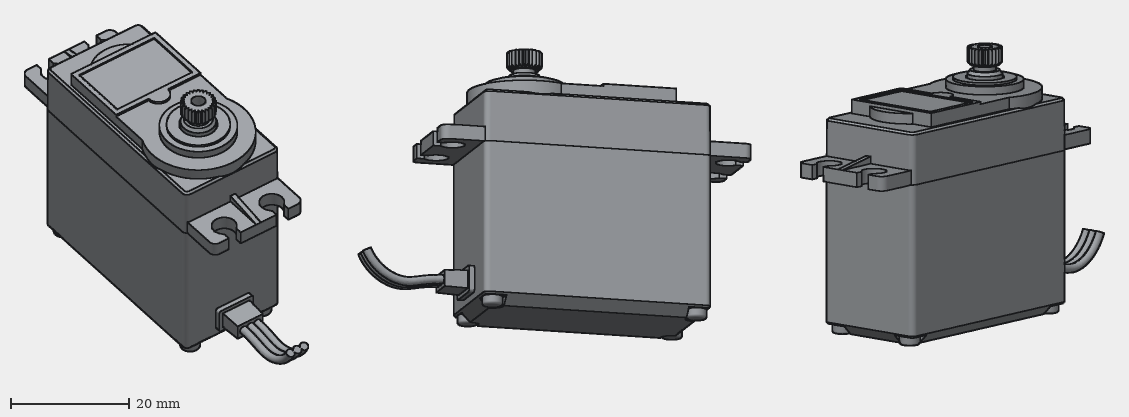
import cadquery as cq
import math

CASE_LENGTH = 39.9
CASE_WIDTH = 19.83
CASE_CORNER_RADIUS = 1.0
SEAM_Z = 28.0
CASE_TOP_Z = 37.0
TOP_EDGE_CHAMFER = 0.4
BOTTOM_CHAMFER = 1.9
ROUNDED_CHAMFER = 0.9
BOTTOM_CHAMFER_ANGLE = 45.0
UPPER_CASE_DRAFT = 0.4

SCREW_X = 17.94
SCREW_Y = 7.5
SCREW_HEAD_DIAMETER = 3.5
SCREW_HEAD_ROUNDING = 0.45
SCREW_NOTCH_DIAMETER = 3.8
NOTCH_CUTTER_SIZE = 12.0
SCREW_HEAD_HEIGHT = 1.55
CORNERS = [(sx, sy) for sx in (-1, 1) for sy in (-1, 1)]

EAR_SPAN = 54.5
EAR_WIDTH = 18.9
EAR_THICKNESS = 2.5
EAR_CORNER_RADIUS = 1.25
EAR_HOLE_X = 24.24
EAR_HOLE_Y = 5.0
EAR_HOLE_DIAMETER = 4.25
EAR_SLOT_WIDTH = 2.5
RIB_WIDTH = 1.0
RIB_RISE = 1.25

AXIS_X = 10.15
COVER_LEFT_X = -14.0
COVER_WIDTH = 17.75
COVER_TOP_Z = 39.0
COVER_ROUND_RADIUS = 9.7
PANEL_RIGHT_X = -1.2
PANEL_TOP_Z = 39.4
PANEL_BORDER = 1.0
PANEL_RECESS_DEPTH = 0.25
PANEL_TAB_RADIUS = 2.05
GEAR_BUMP_DIAMETER = 13.2
GEAR_BUMP_LEFT_X = -16.05
GEAR_BUMP_TOP_Z = 38.8

SEAT_DIAMETER = 13.2
SEAT_TOP_Z = 40.4
COLLAR_DIAMETER = 10.78
COLLAR_TOP_Z = 40.8
SHAFT_HOLE_DIAMETER = 6.5

HUB_DIAMETER = 6.0
HUB_TOP_DIAMETER = 5.0
HUB_SHOULDER_Z = 41.4
HUB_TOP_Z = 42.0
NECK_DIAMETER = 3.8
SPLINE_DIAMETER = 6.0
SPLINE_ROOT_DIAMETER = 4.8
SPLINE_BOTTOM_Z = 42.9
SHAFT_TOP_Z = 46.0
SPLINE_TOP_CHAMFER = 0.2
SPLINE_TEETH = 25
SHAFT_BORE_DIAMETER = 2.46
SHAFT_BORE_DEPTH = 4.0

CABLE_Z = 5.45
GROMMET_FLANGE_LENGTH = 0.95
GROMMET_FLANGE_WIDTH = 7.2
GROMMET_FLANGE_HEIGHT = 4.6
GROMMET_FLANGE_RADIUS = 0.5
GROMMET_LENGTH = 4.0
GROMMET_WIDTH = 5.6
GROMMET_HEIGHT = 3.1
GROMMET_TAPER = 2.0
WIRE_DIAMETER = 1.5
WIRE_PITCH = 1.43
WIRE_DIP_X = 31.5
WIRE_DIP_Z = 4.75
WIRE_END_X = 38.245
WIRE_END_Z = 9.83
WIRE_END_ANGLE = 66.0


def block(x_min, x_max, width, z_min, z_max):
    """Box centred on Y = 0."""
    return cq.Workplane("XY").box(
        x_max - x_min, width, z_max - z_min, centered=(False, True, False)
    ).translate((x_min, 0, z_min))


def cylinder(x, y, diameter, z_min, z_max):
    return cq.Workplane("XY", origin=(x, y, z_min)).circle(diameter / 2).extrude(z_max - z_min)


def case_block(z_min, z_max, draft=0):
    """Slice of the case with rounded corners, narrowing upwards by the draft angle."""
    slice_block = (
        cq.Workplane("XY", origin=(0, 0, z_min))
        .rect(CASE_LENGTH, CASE_WIDTH)
        .extrude(z_max - z_min, taper=draft)
    )
    return slice_block.edges("not(|X or |Y)").fillet(CASE_CORNER_RADIUS)



def make_grommet():
    flange = (
        cq.Workplane("YZ", origin=(CASE_LENGTH / 2, 0, CABLE_Z))
        .rect(GROMMET_FLANGE_WIDTH, GROMMET_FLANGE_HEIGHT)
        .extrude(GROMMET_FLANGE_LENGTH)
        .edges("|X")
        .fillet(GROMMET_FLANGE_RADIUS)
    )
    sleeve = (
        cq.Workplane("YZ", origin=(CASE_LENGTH / 2 + GROMMET_FLANGE_LENGTH, 0, CABLE_Z))
        .rect(GROMMET_WIDTH, GROMMET_HEIGHT)
        .extrude(GROMMET_LENGTH, taper=GROMMET_TAPER)
    )
    return flange.union(sleeve)


def make_wire(y):
    """One wire that leaves the grommet level, dips and then curls up."""
    start_x = CASE_LENGTH / 2 + GROMMET_FLANGE_LENGTH + GROMMET_LENGTH
    end_angle = math.radians(WIRE_END_ANGLE)
    path = cq.Workplane("XZ", origin=(0, y, 0)).spline(
        [(start_x, CABLE_Z), (WIRE_DIP_X, WIRE_DIP_Z), (WIRE_END_X, WIRE_END_Z)],
        tangents=[(1, 0), (math.cos(end_angle), math.sin(end_angle))],
    )
    section = cq.Workplane("YZ", origin=(start_x, y, CABLE_Z)).circle(WIRE_DIAMETER / 2)
    return section.sweep(path)


def make_screw_notch(side_x, side_y):
    """Corner notch around a screw head: open to both sides, rounded on the inside."""
    notch_radius = SCREW_NOTCH_DIAMETER / 2
    notch = (
        cq.Workplane("XY")
        .rect(NOTCH_CUTTER_SIZE, NOTCH_CUTTER_SIZE)
        .extrude(SCREW_HEAD_HEIGHT)
        .edges("|Z")
        .fillet(notch_radius)
    )
    outward_shift = NOTCH_CUTTER_SIZE / 2 - notch_radius
    return notch.translate((side_x * (SCREW_X + outward_shift), side_y * (SCREW_Y + outward_shift), 0))


def make_lower_case():
    foot_height = BOTTOM_CHAMFER - ROUNDED_CHAMFER
    body = case_block(foot_height, SEAM_Z).faces("<Z").chamfer(ROUNDED_CHAMFER)
    foot = (
        cq.Workplane("XY", origin=(0, 0, foot_height))
        .rect(CASE_LENGTH - 2 * ROUNDED_CHAMFER, CASE_WIDTH - 2 * ROUNDED_CHAMFER)
        .extrude(-foot_height, taper=BOTTOM_CHAMFER_ANGLE)
    )
    body = body.union(foot)
    for side_x, side_y in CORNERS:
        body = body.cut(make_screw_notch(side_x, side_y))
    body = body.union(make_grommet())
    for step in (-1, 0, 1):
        body = body.union(make_wire(step * WIRE_PITCH))
    return body



def make_screw(side_x, side_y):
    """Screw head, flush with the underside seated against the notch floor and rounded below."""
    head = cylinder(side_x * SCREW_X, side_y * SCREW_Y, SCREW_HEAD_DIAMETER, 0, SCREW_HEAD_HEIGHT)
    return head.faces("<Z").edges().fillet(SCREW_HEAD_ROUNDING)



def make_ears():
    """Both ears as one plate through the case, with open screw slots."""
    half_span = EAR_SPAN / 2
    ear_top_z = SEAM_Z + EAR_THICKNESS
    ears = block(-half_span, half_span, EAR_WIDTH, SEAM_Z, ear_top_z).edges("|Z").fillet(EAR_CORNER_RADIUS)
    for side_x, side_y in CORNERS:
        x = side_x * EAR_HOLE_X
        y = side_y * EAR_HOLE_Y
        outer_x = side_x * half_span
        slot = block(min(x, outer_x), max(x, outer_x), EAR_SLOT_WIDTH, SEAM_Z, ear_top_z).translate((0, y, 0))
        ears = ears.cut(cylinder(x, y, EAR_HOLE_DIAMETER, SEAM_Z, ear_top_z)).cut(slot)
    rib = (
        cq.Workplane("XZ", origin=(0, RIB_WIDTH / 2, 0))
        .moveTo(-half_span, ear_top_z)
        .lineTo(-CASE_LENGTH / 2, ear_top_z + RIB_RISE)
        .lineTo(CASE_LENGTH / 2, ear_top_z + RIB_RISE)
        .lineTo(half_span, ear_top_z)
        .close()
        .extrude(RIB_WIDTH)
    )
    return ears.union(rib)


def make_gear_cover():
    cover = block(COVER_LEFT_X, AXIS_X, COVER_WIDTH, SEAM_Z, COVER_TOP_Z)
    cover = cover.union(cylinder(AXIS_X, 0, 2 * COVER_ROUND_RADIUS, SEAM_Z, COVER_TOP_Z))
    bump_x = GEAR_BUMP_LEFT_X + GEAR_BUMP_DIAMETER / 2
    cover = cover.union(cylinder(bump_x, 0, GEAR_BUMP_DIAMETER, SEAM_Z, GEAR_BUMP_TOP_Z))
    panel = block(COVER_LEFT_X, PANEL_RIGHT_X, COVER_WIDTH, SEAM_Z, PANEL_TOP_Z)
    tab = cylinder(PANEL_RIGHT_X, 0, 2 * PANEL_TAB_RADIUS, SEAM_Z, PANEL_TOP_Z)
    label_recess = block(
        COVER_LEFT_X + PANEL_BORDER,
        PANEL_RIGHT_X - PANEL_BORDER,
        COVER_WIDTH - 2 * PANEL_BORDER,
        PANEL_TOP_Z - PANEL_RECESS_DEPTH,
        PANEL_TOP_Z,
    )
    return cover.union(panel).union(tab).cut(label_recess)


def make_upper_case():
    body = case_block(SEAM_Z, CASE_TOP_Z, UPPER_CASE_DRAFT).faces(">Z").chamfer(TOP_EDGE_CHAMFER)
    body = body.union(make_ears()).union(make_gear_cover())
    body = body.union(cylinder(AXIS_X, 0, SEAT_DIAMETER, CASE_TOP_Z, SEAT_TOP_Z))
    body = body.union(cylinder(AXIS_X, 0, COLLAR_DIAMETER, CASE_TOP_Z, COLLAR_TOP_Z))
    return body.cut(cylinder(AXIS_X, 0, SHAFT_HOLE_DIAMETER, COVER_TOP_Z, COLLAR_TOP_Z))



def make_spline():
    """Toothed head, with the tooth ends bevelled top and bottom."""
    points = []
    for i in range(2 * SPLINE_TEETH):
        radius = (SPLINE_DIAMETER if i % 2 == 0 else SPLINE_ROOT_DIAMETER) / 2
        angle = math.pi * i / SPLINE_TEETH
        points.append((radius * math.cos(angle), radius * math.sin(angle)))
    teeth = (
        cq.Workplane("XY", origin=(0, 0, SPLINE_BOTTOM_Z))
        .polyline(points)
        .close()
        .extrude(SHAFT_TOP_Z - SPLINE_BOTTOM_Z)
    )
    bottom_bevel = (SPLINE_DIAMETER - SPLINE_ROOT_DIAMETER) / 2
    envelope = (
        cylinder(0, 0, SPLINE_DIAMETER, SPLINE_BOTTOM_Z, SHAFT_TOP_Z)
        .faces(">Z").chamfer(SPLINE_TOP_CHAMFER)
        .faces("<Z").chamfer(bottom_bevel)
    )
    return teeth.intersect(envelope)


def make_shaft():
    hub_bevel_width = (HUB_DIAMETER - HUB_TOP_DIAMETER) / 2
    hub_bevel_height = HUB_TOP_Z - HUB_SHOULDER_Z
    hub = (
        cylinder(0, 0, HUB_DIAMETER, COVER_TOP_Z, HUB_TOP_Z)
        .faces(">Z").chamfer(hub_bevel_height, hub_bevel_width)
    )
    shaft = hub.union(cylinder(0, 0, NECK_DIAMETER, HUB_SHOULDER_Z, SHAFT_TOP_Z)).union(make_spline())
    shaft = shaft.cut(cylinder(0, 0, SHAFT_BORE_DIAMETER, SHAFT_TOP_Z - SHAFT_BORE_DEPTH, SHAFT_TOP_Z))
    return shaft.translate((AXIS_X, 0, 0))


lower_case = make_lower_case()
upper_case = make_upper_case()
shaft = make_shaft()
screws = [make_screw(side_x, side_y) for side_x, side_y in CORNERS]

bodies = [lower_case, upper_case, shaft, *screws]
result = cq.Compound.makeCompound([body.solids().val() for body in bodies])